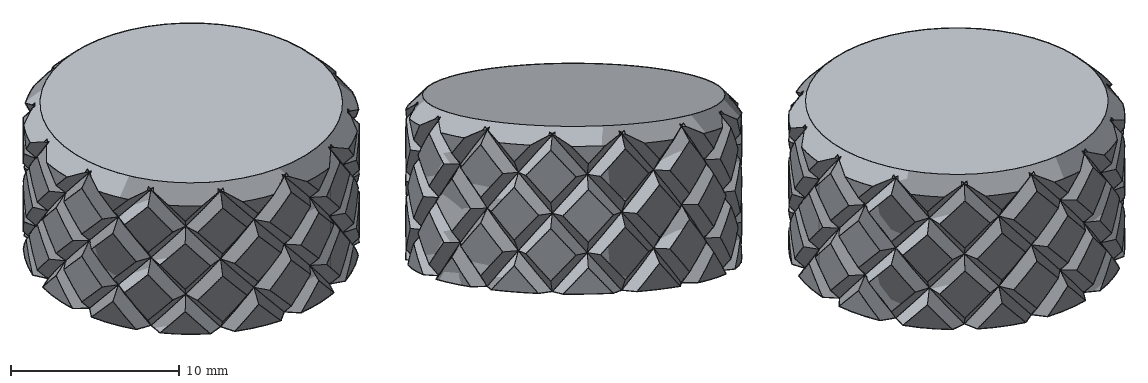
import cadquery as cq
import math

RADIUS = 10.0
HEIGHT = 10.0
CHAMFER = 1.0

GROOVES_PER_HAND = 14
GROOVE_DEPTH = 0.7
GROOVE_HALF_ANGLE = 4.2
TWIST_OVER_HEIGHT = 54.0
GROOVE_SPACING = 360.0 / GROOVES_PER_HAND
FIRST_CROSSING = GROOVE_SPACING / 4

END_OVERRUN = 1.0
FLANK_STRETCH = 1.4


def knob_blank():
    """Plain cylinder with a chamfered top edge."""
    return cq.Workplane("XY").circle(RADIUS).extrude(HEIGHT).faces(">Z").chamfer(CHAMFER)


def groove_cutter(hand):
    """One twisted V-shaped bar; hand is +1 for a right-hand helix and -1 for a left-hand one."""
    length = HEIGHT + 2 * END_OVERRUN
    twist_per_mm = hand * TWIST_OVER_HEIGHT / HEIGHT
    start_angle = FIRST_CROSSING - twist_per_mm * END_OVERRUN

    half_angle = math.radians(GROOVE_HALF_ANGLE)
    root_x = RADIUS - GROOVE_DEPTH
    mouth_x = root_x + FLANK_STRETCH * (RADIUS * math.cos(half_angle) - root_x)
    mouth_y = FLANK_STRETCH * RADIUS * math.sin(half_angle)

    section = (
        cq.Workplane("XY")
        .workplane(offset=-END_OVERRUN)
        .polyline([(root_x, 0), (mouth_x, -mouth_y), (mouth_x, mouth_y)])
        .close()
    )
    cutter = section.twistExtrude(length, twist_per_mm * length)
    return cutter.rotate((0, 0, 0), (0, 0, 1), start_angle).val()


def groove_family(hand):
    """All the cutters of one hand, evenly spaced around the axis."""
    cutter = groove_cutter(hand)
    return [
        cutter.rotate((0, 0, 0), (0, 0, 1), index * GROOVE_SPACING)
        for index in range(GROOVES_PER_HAND)
    ]


knob = knob_blank().val()
for hand in (1, -1):
    knob = knob.cut(*groove_family(hand))

result = cq.Workplane("XY").newObject(knob.Solids())